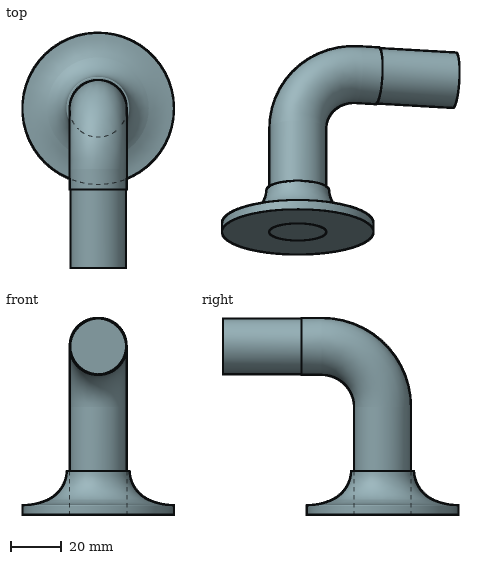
import cadquery as cq
import math

flange_diameter = 60.0
elbow_diameter = 22.6
rod_diameter = 22.0
overall_height = 77.8
overall_length = 93.0

rim_height = 3.9
flange_height = 17.4
collar_radius = 12.5
blend_radius = 20.1
blend_height = 5.95
edge_round = 0.3

bend_radius = 24.0
elbow_end = 32.0

flange_radius = flange_diameter / 2
elbow_radius = elbow_diameter / 2
arm_height = overall_height - elbow_radius
bend_start_height = arm_height - bend_radius
rod_length = overall_length - flange_radius - elbow_end


def make_flange():
    """Revolve a trumpet-shaped base with two concave arcs, bored through for the elbow."""
    flare_start = (collar_radius, flange_height - edge_round)
    blend = (blend_radius, blend_height)
    rim_edge = (flange_radius - edge_round, rim_height)
    corner_offset = edge_round * (1 - math.sqrt(0.5))
    profile = (
        cq.Workplane("XZ")
        .moveTo(elbow_radius, 0)
        .lineTo(flange_radius, 0)
        .lineTo(flange_radius, rim_height - edge_round)
        .threePointArc((flange_radius - corner_offset, rim_height - corner_offset), rim_edge)
        .tangentArcPoint(blend, relative=False)
        .tangentArcPoint(flare_start, relative=False)
        .threePointArc(
            (collar_radius - corner_offset, flange_height - corner_offset),
            (collar_radius - edge_round, flange_height),
        )
        .lineTo(elbow_radius, flange_height)
        .close()
    )
    return profile.revolve(360, (0, 0, 0), (0, 1, 0))


def make_elbow():
    """Sweep a round bar up through the flange bore and round a right-angle bend toward -Y."""
    bend_sagitta = bend_radius * (1 - math.sqrt(0.5))
    path = (
        cq.Workplane("YZ")
        .lineTo(0, bend_start_height)
        .threePointArc((-bend_sagitta, arm_height - bend_sagitta), (-bend_radius, arm_height))
        .lineTo(-elbow_end, arm_height)
    )
    section = cq.Workplane("XY").circle(elbow_radius)
    return section.sweep(path)


def make_rod():
    """Horizontal rod butted against the elbow mouth."""
    mouth = cq.Workplane("XZ", origin=(0, -elbow_end, arm_height))
    return mouth.circle(rod_diameter / 2).extrude(rod_length)


flange = make_flange()
elbow = make_elbow()
rod = make_rod()

result = cq.Compound.makeCompound([flange.val(), elbow.val(), rod.val()])